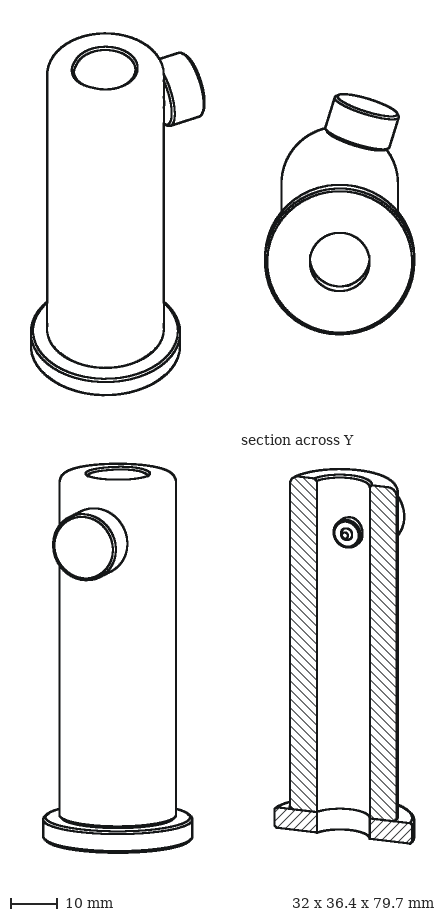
import cadquery as cq
import math

sleeve_diameter = 25.0
sleeve_length = 75.0
sleeve_top_round = 2.0
bore_diameter = 12.8
bore_nose_radius = 5.2
bore_nose_offset = 1.7
edge_chamfer = 0.5

flange_diameter = 32.0
flange_thickness = 4.7

plunger_drop = 12.4
plunger_diameter = 6.2
plunger_tip_y = 4.1
plunger_chamfer = 0.3
knob_diameter = 14.4
knob_length = 7.85
pin_diameter = 2.6
pin_tip_diameter = 1.4
pin_protrusion = 1.0

sleeve_radius = sleeve_diameter / 2
bore_radius = bore_diameter / 2
sleeve_top_z = flange_thickness + sleeve_length
plunger_z = sleeve_top_z - plunger_drop
knob_face_y = sleeve_radius
plunger_length = knob_face_y - plunger_tip_y
pin_tip_y = plunger_tip_y - pin_protrusion


def cylinder_along_y(diameter, start_y, length):
    """Cylinder on the plunger axis, running toward +Y from start_y."""
    plane = cq.Plane(origin=(0, start_y, plunger_z), xDir=(1, 0, 0), normal=(0, 1, 0))
    return cq.Workplane(plane).circle(diameter / 2).extrude(length)


def make_flange():
    ring = cq.Workplane("XY").circle(flange_diameter / 2).extrude(flange_thickness)
    ring = ring.edges().chamfer(edge_chamfer)
    bore = cq.Workplane("XY").circle(bore_radius).extrude(flange_thickness)
    return ring.cut(bore)


def make_sleeve_bore():
    """Blunt teardrop: a round bore joined to a smaller nose arc on -Y by tangent lines."""
    tangent_angle = math.asin((bore_radius - bore_nose_radius) / bore_nose_offset)
    across = math.cos(tangent_angle)
    toward_nose = math.sin(tangent_angle)
    bore_x = bore_radius * across
    bore_y = -bore_radius * toward_nose
    nose_x = bore_nose_radius * across
    nose_y = -bore_nose_offset - bore_nose_radius * toward_nose
    nose_end_y = -bore_nose_offset - bore_nose_radius
    outline = (
        cq.Workplane("XY")
        .workplane(offset=flange_thickness)
        .moveTo(bore_x, bore_y)
        .threePointArc((0, bore_radius), (-bore_x, bore_y))
        .lineTo(-nose_x, nose_y)
        .threePointArc((0, nose_end_y), (nose_x, nose_y))
        .close()
    )
    return outline.extrude(sleeve_length)


def make_sleeve():
    tube = cq.Workplane("XY").workplane(offset=flange_thickness)
    tube = tube.circle(sleeve_radius).extrude(sleeve_length)
    tube = tube.faces(">Z").edges().fillet(sleeve_top_round)
    tube = tube.faces("<Z").edges().chamfer(edge_chamfer)
    tube = tube.cut(make_sleeve_bore())
    rim = sleeve_radius - sleeve_top_round - edge_chamfer
    inside_rim = cq.selectors.BoxSelector(
        (-rim, -rim, flange_thickness), (rim, rim, sleeve_top_z + edge_chamfer), boundingbox=True
    )
    tube = tube.faces(">Z").edges(inside_rim).chamfer(edge_chamfer)
    plunger_hole = cylinder_along_y(plunger_diameter, 0, sleeve_diameter)
    return tube.cut(plunger_hole)


def make_plunger_body():
    body = cylinder_along_y(plunger_diameter, plunger_tip_y, plunger_length)
    body = body.faces("<Y").edges().chamfer(plunger_chamfer)
    return body.cut(cylinder_along_y(pin_diameter, plunger_tip_y, plunger_length))


def make_pin():
    """Pin filling the plunger body, with a truncated cone standing out into the bore."""
    shank = cylinder_along_y(pin_diameter, pin_tip_y, plunger_length + pin_protrusion)
    cone_run = (pin_diameter - pin_tip_diameter) / 2
    return shank.faces("<Y").edges().chamfer(pin_protrusion, cone_run)


def make_knob():
    knob = cylinder_along_y(knob_diameter, knob_face_y, knob_length)
    return knob.edges("%CIRCLE").chamfer(edge_chamfer)


flange = make_flange()
sleeve = make_sleeve()
plunger_body = make_plunger_body()
pin = make_pin()
knob = make_knob()

result = cq.Compound.makeCompound(
    [flange.val(), sleeve.val(), plunger_body.val(), pin.val(), knob.val()]
)